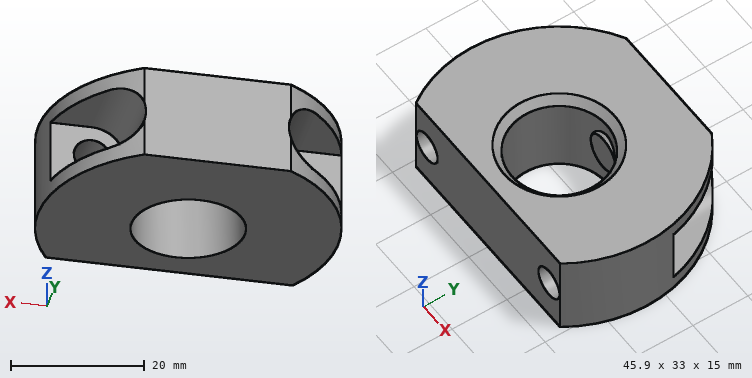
import cadquery as cq
import math

outer_diameter = 45.9
thickness = 15.0
front_flat = 13.0
back_flat = 20.0

bore_diameter = 17.3
bore_rim_diameter = 20.0
bore_chamfer = (bore_rim_diameter - bore_diameter) / 2

pin_tip_diameter = 6.5
pin_taper = 35
pin_tip = 8.0
pin_embedding = 0.9

screw_diameter = 5.5
screw_offset = 15.98
pocket_width = 10.0
pocket_seat = 5.33

mid_height = thickness / 2


def y_cylinder(diameter, x, y_start, y_end):
    """Cylinder parallel to Y at mid height."""
    start = cq.Vector(x, y_start, mid_height)
    solid = cq.Solid.makeCylinder(diameter / 2, y_end - y_start, start, cq.Vector(0, 1, 0))
    return cq.Workplane(obj=solid)


def make_body():
    disc = cq.Workplane("XY").circle(outer_diameter / 2).extrude(thickness)
    between_flats = (
        cq.Workplane("XY")
        .center(0, (back_flat - front_flat) / 2)
        .rect(outer_diameter * 2, back_flat + front_flat)
        .extrude(thickness)
    )
    return disc.intersect(between_flats)


def cut_bore(body):
    bore = cq.Workplane("XY").circle(bore_diameter / 2).extrude(thickness)
    rim_cone = cq.Solid.makeCone(
        bore_diameter / 2,
        bore_rim_diameter / 2,
        bore_chamfer,
        cq.Vector(0, 0, thickness - bore_chamfer),
    )
    return body.cut(bore).cut(cq.Workplane(obj=rim_cone))


def make_pin():
    """Cone widening from the flat tip to a base buried just behind the bore wall."""
    length = bore_diameter / 2 - pin_tip + pin_embedding
    tip_radius = pin_tip_diameter / 2
    base_radius = tip_radius + length * math.tan(math.radians(pin_taper))
    tip_centre = cq.Vector(0, pin_tip, mid_height)
    cone = cq.Solid.makeCone(tip_radius, base_radius, length, tip_centre, cq.Vector(0, 1, 0))
    return cq.Workplane(obj=cone)


def make_screw_cut(side):
    """Through hole and U-shaped head pocket; side is -1 or +1 along X."""
    x = side * screw_offset
    hole = y_cylinder(screw_diameter, x, -front_flat, back_flat)
    pocket_round = y_cylinder(pocket_width, x, pocket_seat, back_flat)
    open_length = outer_diameter / 2 - screw_offset
    pocket_length = back_flat - pocket_seat
    pocket_opening = cq.Workplane("XY").box(open_length, pocket_length, pocket_width).translate(
        (side * (screw_offset + open_length / 2), pocket_seat + pocket_length / 2, mid_height)
    )
    return hole.union(pocket_round).union(pocket_opening)


result = cut_bore(make_body()).union(make_pin())
for side in (-1, 1):
    result = result.cut(make_screw_cut(side))